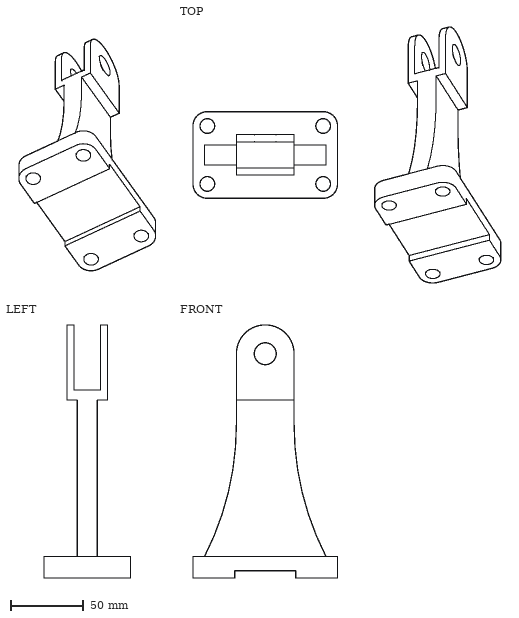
import cadquery as cq
import math

BASE_LENGTH = 100.0
BASE_WIDTH = 60.0
BASE_HEIGHT = 15.0
CORNER_RADIUS = 10.0
BOLT_HOLE_DIAMETER = 10.0
BOLT_SPACING_X = BASE_LENGTH - 2 * CORNER_RADIUS
BOLT_SPACING_Y = BASE_WIDTH - 2 * CORNER_RADIUS
CHANNEL_WIDTH = 42.0
CHANNEL_DEPTH = 5.0

TOTAL_HEIGHT = 175.0
FORK_RADIUS = 20.0
FORK_DEPTH = 28.0
CHEEK_THICKNESS = 5.0
FORK_BOTTOM_Z = 123.0
FORK_FLOOR_THICKNESS = 7.0
PIN_HOLE_DIAMETER = 15.0
PIN_Z = TOTAL_HEIGHT - FORK_RADIUS

WEB_THICKNESS = 14.0
WEB_FOOT_HALF_WIDTH = 42.0
FLARE_RADIUS = 200.0


def make_base():
    """Rounded plate with four corner holes and a channel across its underside."""
    plate = (
        cq.Workplane("XY")
        .box(BASE_LENGTH, BASE_WIDTH, BASE_HEIGHT, centered=(True, True, False))
        .edges("|Z")
        .fillet(CORNER_RADIUS)
    )
    bolt_holes = (
        cq.Workplane("XY")
        .rect(BOLT_SPACING_X, BOLT_SPACING_Y, forConstruction=True)
        .vertices()
        .circle(BOLT_HOLE_DIAMETER / 2)
        .extrude(BASE_HEIGHT)
    )
    channel = cq.Workplane("XY").box(
        CHANNEL_WIDTH, BASE_WIDTH, CHANNEL_DEPTH, centered=(True, True, False)
    )
    return plate.cut(bolt_holes).cut(channel)


def make_web():
    """Web whose sides run straight down from the fork, then flare tangentially."""
    center_x = FORK_RADIUS + FLARE_RADIUS
    flare_angle = math.acos((center_x - WEB_FOOT_HALF_WIDTH) / FLARE_RADIUS)
    flare_top_z = BASE_HEIGHT + FLARE_RADIUS * math.sin(flare_angle)
    mid_x = center_x - FLARE_RADIUS * math.cos(flare_angle / 2)
    mid_z = flare_top_z - FLARE_RADIUS * math.sin(flare_angle / 2)
    return (
        cq.Workplane("XZ")
        .moveTo(-WEB_FOOT_HALF_WIDTH, BASE_HEIGHT)
        .lineTo(WEB_FOOT_HALF_WIDTH, BASE_HEIGHT)
        .threePointArc((mid_x, mid_z), (FORK_RADIUS, flare_top_z))
        .lineTo(FORK_RADIUS, FORK_BOTTOM_Z)
        .lineTo(-FORK_RADIUS, FORK_BOTTOM_Z)
        .lineTo(-FORK_RADIUS, flare_top_z)
        .threePointArc((-mid_x, mid_z), (-WEB_FOOT_HALF_WIDTH, BASE_HEIGHT))
        .close()
        .extrude(WEB_THICKNESS / 2, both=True)
    )


def make_fork():
    """Block with a round top, slotted from above and cross-drilled for a pin."""
    body = (
        cq.Workplane("XZ")
        .moveTo(-FORK_RADIUS, FORK_BOTTOM_Z)
        .lineTo(FORK_RADIUS, FORK_BOTTOM_Z)
        .lineTo(FORK_RADIUS, PIN_Z)
        .threePointArc((0, TOTAL_HEIGHT), (-FORK_RADIUS, PIN_Z))
        .close()
        .extrude(FORK_DEPTH / 2, both=True)
    )
    slot_floor_z = FORK_BOTTOM_Z + FORK_FLOOR_THICKNESS
    slot = (
        cq.Workplane("XY")
        .workplane(offset=slot_floor_z)
        .rect(2 * FORK_RADIUS, FORK_DEPTH - 2 * CHEEK_THICKNESS)
        .extrude(TOTAL_HEIGHT - slot_floor_z)
    )
    pin_hole = (
        cq.Workplane("XZ")
        .center(0, PIN_Z)
        .circle(PIN_HOLE_DIAMETER / 2)
        .extrude(FORK_DEPTH / 2, both=True)
    )
    return body.cut(slot).cut(pin_hole)


result = make_base().union(make_web()).union(make_fork())